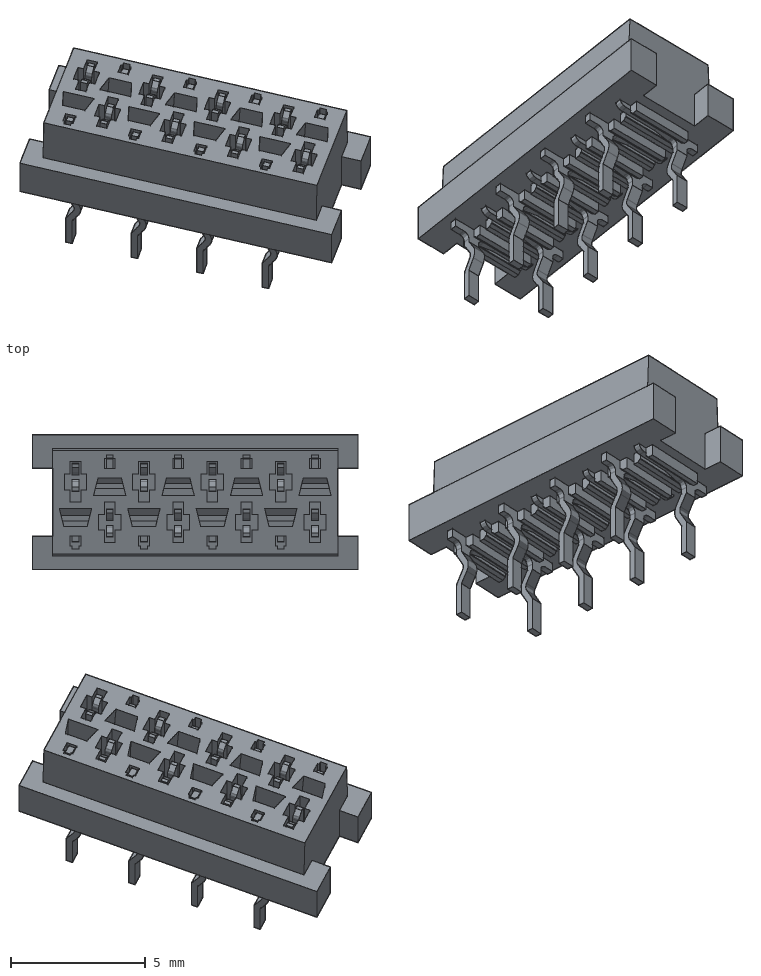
import cadquery as cq
import math

LENGTH = 12.09
WIDTH = 5.0
RAIL_WIDTH = 1.25
RAIL_HEIGHT = 1.61
BLOCK_LENGTH = 10.59
BLOCK_TOP_Z = 3.51
BLOCK_BASE_WIDTH = 3.99
BLOCK_TOP_WIDTH = 3.83
CORE_WIDTH = WIDTH - 2 * RAIL_WIDTH

COLUMNS = 8
PITCH = 1.27
LEG_Y = PITCH
ROW_SHIFT = 0.07

STANDOFF_LENGTH = 0.92
STANDOFF_DROP = 0.47
NOTCH_HEIGHT = 0.11
NOTCH_TOP_WIDTH = 0.31
NOTCH_BOTTOM_WIDTH = 0.53

OPENING_FLOOR_Z = 0.6
OPENING_WIDTH = 0.4
CONTACT_SLOT_FAR = 1.5
CROSS_WIDTH = 0.83
CROSS_NEAR = 0.46
CROSS_FAR = 1.04
ARM_HOLE_NEAR = 1.26
ARM_HOLE_FAR = 1.62
ARM_NICHE_FAR = 1.74
POCKET_FLOOR_Z = RAIL_HEIGHT
POCKET_WIDE = 1.2
POCKET_NARROW = 0.87
POCKET_NEAR = 0.24
POCKET_FAR = 0.9
POCKET_NEAR_DRAFT = 7.8
POCKET_FAR_DRAFT = 6.0

SHEET = 0.25
LEG_WIDTH = 0.48
LEG_TIP_Z = -3.5
LEG_TOP_Z = -0.68
KINK_ANGLE = 30.0
KINK_TOP_Z = -0.8
APEX_Z = -1.49
APEX_RADIUS = 0.42
BODY_TOP_Z = 0.36
SHOULDER_Z = -0.36
SHOULDER_END = 2.09
LEG_FILLET = 0.24
TAIL_Z = -0.22
TAIL_END = 1.72
TAIL_RADIUS = 0.31
RAMP_START_Y = 0.12
CONTACT_TOP_Z = BLOCK_TOP_Z - 0.05
CONTACT_Y = -0.85
TINE_ROOT = 0.53
TINE_TIP = 0.5
TINE_FLAT = 0.36
TINE_LEAD = 0.16
TINE_GAP = 0.08
TINE_LEAD_ANGLE = 40.0
ARM_NEAR = 1.09
ARM_FAR = 1.52
ARM_TOP_Z = BLOCK_TOP_Z - 0.15
ARM_TAPER = 0.04
ARM_TAPER_HEIGHT = 0.36


def box(x_size, y_from, y_to, z_from, z_to):
    """Block centred on X = 0."""
    block = cq.Workplane("XY").box(x_size, y_to - y_from, z_to - z_from, centered=(True, False, False))
    return block.translate((0, y_from, z_from))


def side_outline(thickness):
    """YZ sketch plane whose extrusion by the thickness is centred on X = 0."""
    return cq.Workplane("YZ").workplane(offset=-thickness / 2)


def tine(side):
    """One contact tine, on the +Y (1) or -Y (-1) side of the contact gap."""
    lead = math.radians(TINE_LEAD_ANGLE)
    lead_z = CONTACT_TOP_Z - (TINE_FLAT - TINE_LEAD) * math.tan(lead)
    tip_radius = (TINE_LEAD - TINE_GAP) / (1 - math.sin(lead))
    mid = (lead + math.pi / 2) / 2
    centre_y = TINE_GAP + tip_radius
    tip_z = lead_z - tip_radius * math.cos(lead)

    def at(distance, z):
        return (CONTACT_Y + side * distance, z)

    return (
        side_outline(SHEET)
        .moveTo(*at(TINE_ROOT, 0))
        .lineTo(*at(TINE_TIP, CONTACT_TOP_Z))
        .lineTo(*at(TINE_FLAT, CONTACT_TOP_Z))
        .lineTo(*at(TINE_LEAD, lead_z))
        .threePointArc(
            at(centre_y - tip_radius * math.sin(mid), tip_z + tip_radius * math.cos(mid)),
            at(TINE_GAP, tip_z),
        )
        .lineTo(*at(TINE_GAP, 0))
        .close()
        .extrude(SHEET)
    )


def arm():
    """Upright retaining arm above the shoulder, tapered near its top."""
    return (
        side_outline(SHEET)
        .moveTo(ARM_NEAR, 0)
        .lineTo(ARM_NEAR, ARM_TOP_Z)
        .lineTo(ARM_FAR, ARM_TOP_Z)
        .lineTo(ARM_FAR + ARM_TAPER, ARM_TOP_Z - ARM_TAPER_HEIGHT)
        .lineTo(ARM_FAR + ARM_TAPER, 0)
        .close()
        .extrude(SHEET)
    )


def body(shift):
    """Pin body: shoulder, fillets into the leg, ramp and rounded tail."""
    leg_outer = LEG_Y + LEG_WIDTH / 2
    leg_inner = LEG_Y - LEG_WIDTH / 2
    fillet_z = SHOULDER_Z - LEG_FILLET
    bend = LEG_FILLET * math.sqrt(0.5)
    tail_end = shift - TAIL_END
    tail_bend = TAIL_RADIUS * (1 - math.sqrt(0.5))
    return (
        side_outline(SHEET)
        .moveTo(tail_end, BODY_TOP_Z)
        .lineTo(SHOULDER_END + shift, BODY_TOP_Z)
        .lineTo(SHOULDER_END + shift, SHOULDER_Z)
        .lineTo(leg_outer + LEG_FILLET, SHOULDER_Z)
        .threePointArc(
            (leg_outer + LEG_FILLET - bend, fillet_z + bend),
            (leg_outer, fillet_z),
        )
        .lineTo(leg_outer, LEG_TOP_Z)
        .lineTo(leg_inner, LEG_TOP_Z)
        .lineTo(leg_inner, fillet_z)
        .threePointArc(
            (leg_inner - LEG_FILLET + bend, fillet_z + bend),
            (leg_inner - LEG_FILLET, SHOULDER_Z),
        )
        .lineTo(RAMP_START_Y, TAIL_Z)
        .lineTo(tail_end + TAIL_RADIUS, TAIL_Z)
        .threePointArc(
            (tail_end + tail_bend, TAIL_Z + tail_bend),
            (tail_end, TAIL_Z + TAIL_RADIUS),
        )
        .close()
        .extrude(SHEET)
    )


def leg():
    """Leg with its sideways bulge toward -X."""
    angle = math.radians(KINK_ANGLE)
    half = SHEET / 2
    miter = half * math.tan(angle / 2)
    kink_bottom_z = 2 * APEX_Z - KINK_TOP_Z
    arc_half_z = APEX_RADIUS * math.sin(angle)
    slope_run = (KINK_TOP_Z - APEX_Z - arc_half_z) * math.tan(angle)
    apex_x = slope_run + APEX_RADIUS * (1 - math.cos(angle))
    centre_x = apex_x - APEX_RADIUS
    inner_radius = APEX_RADIUS - half
    outer_radius = APEX_RADIUS + half

    def on_arc(radius, turn):
        return (-centre_x - radius * math.cos(turn), APEX_Z + radius * math.sin(turn))

    return (
        cq.Workplane("XZ", origin=(0, LEG_Y + LEG_WIDTH / 2, 0))
        .moveTo(-half, LEG_TOP_Z)
        .lineTo(-half, KINK_TOP_Z + miter)
        .lineTo(*on_arc(outer_radius, angle))
        .threePointArc(on_arc(outer_radius, 0), on_arc(outer_radius, -angle))
        .lineTo(-half, kink_bottom_z - miter)
        .lineTo(-half, LEG_TIP_Z)
        .lineTo(half, LEG_TIP_Z)
        .lineTo(half, kink_bottom_z + miter)
        .lineTo(*on_arc(inner_radius, -angle))
        .threePointArc(on_arc(inner_radius, 0), on_arc(inner_radius, angle))
        .lineTo(half, KINK_TOP_Z - miter)
        .lineTo(half, LEG_TOP_Z)
        .close()
        .extrude(LEG_WIDTH)
    )


def to_column(shape, column):
    """Move a shape made for a +Y leg to its column; even columns are turned to face -Y."""
    turn = 0 if column % 2 else 180
    x = (column - (COLUMNS - 1) / 2) * PITCH
    return shape.rotate((0, 0, 0), (0, 0, 1), turn).translate((x, 0, 0))


def pin(column):
    """One complete pin in its column."""
    shift = ROW_SHIFT if column % 2 else -ROW_SHIFT
    upper = arm().union(tine(1)).union(tine(-1)).translate((0, shift, 0))
    return to_column(body(shift).union(upper).union(leg()), column)


def contact_slot():
    """Cross-shaped slot around the two tines."""
    slot = box(OPENING_WIDTH, -CONTACT_SLOT_FAR, 0, OPENING_FLOOR_Z, BLOCK_TOP_Z)
    return slot.union(box(CROSS_WIDTH, -CROSS_FAR, -CROSS_NEAR, OPENING_FLOOR_Z, BLOCK_TOP_Z))


def arm_hole():
    """Small hole beside the arm, with a sheet-wide niche at its outer end."""
    hole = box(OPENING_WIDTH, ARM_HOLE_NEAR, ARM_HOLE_FAR, OPENING_FLOOR_Z, BLOCK_TOP_Z)
    return hole.union(box(SHEET, ARM_HOLE_FAR, ARM_NICHE_FAR, OPENING_FLOOR_Z, BLOCK_TOP_Z))


def pocket():
    """Trapezoid pocket with upright sides and sloping ends."""
    depth = BLOCK_TOP_Z - POCKET_FLOOR_Z
    plan = (
        cq.Workplane("XY", origin=(0, 0, POCKET_FLOOR_Z))
        .polyline(
            [
                (-POCKET_WIDE / 2, POCKET_NEAR),
                (POCKET_WIDE / 2, POCKET_NEAR),
                (POCKET_NARROW / 2, POCKET_FAR),
                (-POCKET_NARROW / 2, POCKET_FAR),
            ]
        )
        .close()
        .extrude(depth)
    )
    section = (
        side_outline(POCKET_WIDE)
        .polyline(
            [
                (POCKET_NEAR, BLOCK_TOP_Z),
                (POCKET_FAR, BLOCK_TOP_Z),
                (POCKET_FAR - depth * math.tan(math.radians(POCKET_FAR_DRAFT)), POCKET_FLOOR_Z),
                (POCKET_NEAR + depth * math.tan(math.radians(POCKET_NEAR_DRAFT)), POCKET_FLOOR_Z),
            ]
        )
        .close()
        .extrude(POCKET_WIDE)
    )
    return plan.intersect(section)


def standoff():
    """Standoff under the core, notched along Y, with an open slit for the pin."""
    foot_z = -STANDOFF_DROP
    foot = box(STANDOFF_LENGTH, -CORE_WIDTH / 2, CORE_WIDTH / 2, foot_z, 0)
    notch = (
        cq.Workplane("XZ", origin=(0, CORE_WIDTH / 2, 0))
        .polyline(
            [
                (-NOTCH_BOTTOM_WIDTH / 2, foot_z),
                (NOTCH_BOTTOM_WIDTH / 2, foot_z),
                (NOTCH_TOP_WIDTH / 2, foot_z + NOTCH_HEIGHT),
                (-NOTCH_TOP_WIDTH / 2, foot_z + NOTCH_HEIGHT),
            ]
        )
        .close()
        .extrude(CORE_WIDTH)
    )
    slit = box(SHEET, -CORE_WIDTH / 2, CORE_WIDTH / 2, foot_z, 0)
    return foot.cut(notch).cut(slit)


def housing_blank():
    """Two rails, the core between them and the tapered block on top."""
    rail = box(LENGTH, WIDTH / 2 - RAIL_WIDTH, WIDTH / 2, 0, RAIL_HEIGHT)
    core = box(BLOCK_LENGTH, -CORE_WIDTH / 2, CORE_WIDTH / 2, 0, RAIL_HEIGHT)
    block = (
        side_outline(BLOCK_LENGTH)
        .polyline(
            [
                (-BLOCK_BASE_WIDTH / 2, RAIL_HEIGHT),
                (BLOCK_BASE_WIDTH / 2, RAIL_HEIGHT),
                (BLOCK_TOP_WIDTH / 2, BLOCK_TOP_Z),
                (-BLOCK_TOP_WIDTH / 2, BLOCK_TOP_Z),
            ]
        )
        .close()
        .extrude(BLOCK_LENGTH)
    )
    return core.union(rail).union(rail.mirror("XZ")).union(block)


pins = [pin(column) for column in range(COLUMNS)]

housing = housing_blank()
for column in range(COLUMNS):
    housing = housing.union(to_column(standoff(), column))
    for opening in (contact_slot(), arm_hole(), pocket()):
        housing = housing.cut(to_column(opening, column))
for fitted_pin in pins:
    housing = housing.cut(fitted_pin)

result = cq.Compound.makeCompound([housing.val(), *[fitted_pin.val() for fitted_pin in pins]])